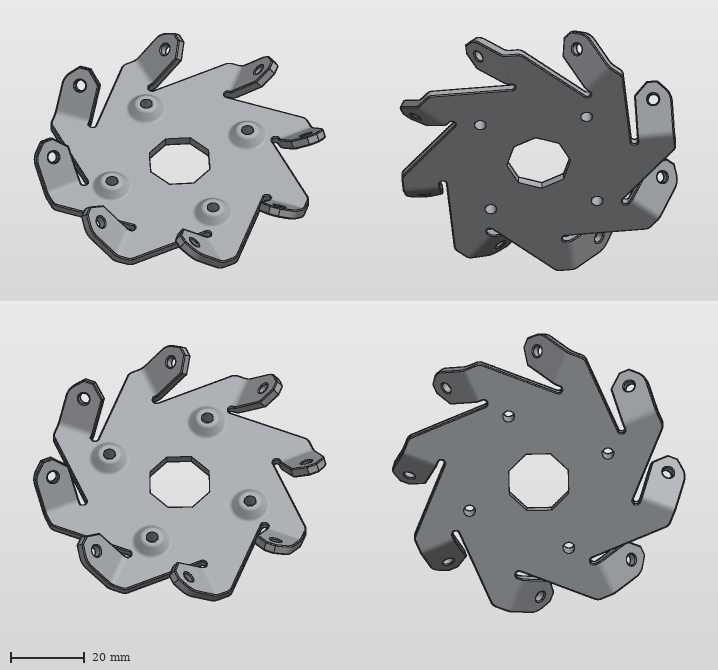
import cadquery as cq
import math

ARM_COUNT = 8
ARM_ANGLE = 360 / ARM_COUNT
PLATE_HALF = 37.5
SHEET = 2.55
RIM_CHAMFER = 0.3
CORNER_RADIUS = 2.5

SLOT_EDGE = 25.6
SLOT_WIDTH = 1.8
SLOT_END = 3.8
SLOT_RADIUS = SLOT_WIDTH / 2
SLOT_CENTRE_X = SLOT_END + SLOT_RADIUS
TAB_INNER = SLOT_EDGE + SLOT_WIDTH
TAB_WIDTH = PLATE_HALF - TAB_INNER

BEND_ANGLE = 45
BEND_INNER_RADIUS = 2.5
BEND_OUTER_RADIUS = BEND_INNER_RADIUS
BEND_CORNER = 5.1
TAB_OVERLAP = 0.75
TAB_LENGTH = 13.95
TAB_CORNER_CUT = 3.6
TAB_CORNER_ANGLE = 45
TAB_CORNER_RADIUS = 5.0
TAB_HOLE_DIAMETER = 3.0
TAB_HOLE_TO_TIP = 4.95

OPENING_SIDES = 8
OPENING_CORNER_RADIUS = 8.7
BOSS_COUNT = 4
BOSS_CIRCLE_RADIUS = 20.5
BOSS_HEIGHT = 2.25
BOSS_BASE_RADIUS = 5.1
BOSS_SLOPE_ANGLE = 45
BOSS_BLEND_RADIUS = 1.3
BOSS_HOLE_DIAMETER = 3.15

SQUARE_TOLERANCE = 0.01

BEND_SETBACK = math.tan(math.radians(BEND_ANGLE / 2))
BEND_START = BEND_CORNER - BEND_INNER_RADIUS * BEND_SETBACK
ARM_TURN = math.radians(ARM_ANGLE)
PLATE_CORNER = PLATE_HALF / math.tan(ARM_TURN) - SLOT_EDGE / math.sin(ARM_TURN)


def rotated(point, angle):
    """Turn a plan point about the plate axis by an angle in degrees."""
    x, y = point
    c = math.cos(math.radians(angle))
    s = math.sin(math.radians(angle))
    return (x * c - y * s, x * s + y * c)


def around(shape, count):
    """Copies of a shape spread evenly about the plate axis."""
    return [shape.rotate((0, 0, 0), (0, 0, 1), i * 360 / count) for i in range(count)]


def flat_plate():
    arm = [(PLATE_CORNER, PLATE_HALF), (SLOT_CENTRE_X, PLATE_HALF), (SLOT_CENTRE_X, SLOT_EDGE)]
    outline = [rotated(p, -i * ARM_ANGLE) for i in range(ARM_COUNT) for p in arm]
    plate = cq.Workplane("XY").polyline(outline).close().extrude(SHEET)
    for i in range(ARM_COUNT):
        x, y = rotated((PLATE_CORNER, PLATE_HALF), -i * ARM_ANGLE)
        corner = cq.selectors.NearestToPointSelector((x, y, SHEET / 2))
        plate = plate.edges("|Z").edges(corner).fillet(CORNER_RADIUS)
    return plate.faces("|Z").edges().chamfer(RIM_CHAMFER)


def tab_plane():
    """Plane on the upper tab face: origin at the bend corner, x up the slope, y inwards."""
    slope = math.radians(BEND_ANGLE)
    return cq.Plane(
        origin=(BEND_CORNER, PLATE_HALF, SHEET),
        xDir=(math.cos(slope), 0, math.sin(slope)),
        normal=(math.sin(slope), 0, -math.cos(slope)),
    )


def right_angle_edges(body):
    """Edges between faces at a right angle, leaving out the upright ones."""
    solid = body.val()
    square = []
    for edge in body.edges("not |Z").vals():
        middle = edge.positionAt(0.5)
        first, second = [face.normalAt(middle) for face in edge.ancestors(solid, "Face")]
        if abs(first.dot(second)) < SQUARE_TOLERANCE:
            square.append(edge)
    return body.newObject(square)


def bent_strip():
    """Sheet strip of constant thickness that runs along the plate and bends up the tab."""
    slope = math.radians(BEND_ANGLE)
    along = (TAB_LENGTH * math.cos(slope), TAB_LENGTH * math.sin(slope))
    across = (SHEET * math.sin(slope), -SHEET * math.cos(slope))
    start = BEND_START - TAB_OVERLAP
    outer_corner = BEND_CORNER + SHEET * BEND_SETBACK
    tip = (BEND_CORNER + along[0], SHEET + along[1])
    strip = (
        cq.Workplane("XZ", origin=(0, PLATE_HALF, 0))
        .moveTo(start, SHEET)
        .lineTo(BEND_CORNER, SHEET)
        .lineTo(*tip)
        .lineTo(tip[0] + across[0], tip[1] + across[1])
        .lineTo(outer_corner, 0)
        .lineTo(start, 0)
        .close()
        .extrude(TAB_WIDTH)
    )
    middle = PLATE_HALF - TAB_WIDTH / 2
    inner = cq.selectors.NearestToPointSelector((BEND_CORNER, middle, SHEET))
    outer = cq.selectors.NearestToPointSelector((outer_corner, middle, 0))
    strip = strip.edges(inner).fillet(BEND_INNER_RADIUS)
    return strip.edges(outer).fillet(BEND_OUTER_RADIUS)


def bent_tab():
    """Strip with both tip corners cut, the outer cut blended into the arm edge."""
    turn = math.radians(TAB_CORNER_ANGLE)
    blend = TAB_CORNER_RADIUS * math.tan(turn / 2)
    cut_start = TAB_LENGTH - TAB_CORNER_CUT
    arc_start = cut_start - blend
    arc_middle = (
        arc_start + TAB_CORNER_RADIUS * math.sin(turn / 2),
        TAB_CORNER_RADIUS * (1 - math.cos(turn / 2)),
    )
    arc_end = (cut_start + blend * math.cos(turn), blend * math.sin(turn))
    outer_cut = (
        cq.Workplane(tab_plane())
        .moveTo(arc_start, 0)
        .threePointArc(arc_middle, arc_end)
        .lineTo(TAB_LENGTH, TAB_CORNER_CUT)
        .lineTo(TAB_LENGTH, 0)
        .close()
        .extrude(SHEET)
    )
    inner_cut = (
        cq.Workplane(tab_plane())
        .moveTo(TAB_LENGTH, TAB_WIDTH - TAB_CORNER_CUT)
        .lineTo(TAB_LENGTH, TAB_WIDTH)
        .lineTo(cut_start, TAB_WIDTH)
        .close()
        .extrude(SHEET)
    )
    tab = bent_strip().cut(outer_cut).cut(inner_cut)
    return right_angle_edges(tab).chamfer(RIM_CHAMFER)


def flared_cutter(plane, centre, radius):
    """Round cutter through the sheet, starting on a plane and flared to bevel both rims."""
    flare = radius + RIM_CHAMFER
    profile = [
        (0, 0),
        (flare, 0),
        (radius, RIM_CHAMFER),
        (radius, SHEET - RIM_CHAMFER),
        (flare, SHEET),
        (0, SHEET),
    ]
    side = cq.Plane(
        origin=plane.toWorldCoords(centre),
        xDir=plane.xDir,
        normal=plane.xDir.cross(plane.zDir),
    )
    return cq.Workplane(side).polyline(profile).close().revolve(360, (0, 0, 0), (0, 1, 0))


def slot_end():
    centre = (SLOT_CENTRE_X, SLOT_EDGE + SLOT_RADIUS)
    return flared_cutter(cq.Plane.XY(), centre, SLOT_RADIUS)


def tab_hole():
    centre = (TAB_LENGTH - TAB_HOLE_TO_TIP, TAB_WIDTH / 2)
    return flared_cutter(tab_plane(), centre, TAB_HOLE_DIAMETER / 2)


def boss():
    """Conical boss with a hollow blend at its foot and a round blend at its top."""
    slope = math.radians(BOSS_SLOPE_ANGLE)
    top_radius = BOSS_BASE_RADIUS - BOSS_HEIGHT / math.tan(slope)
    top = SHEET + BOSS_HEIGHT
    setback = BOSS_BLEND_RADIUS * math.tan(slope / 2)
    run = setback * math.cos(slope)
    rise = setback * math.sin(slope)
    bow = BOSS_BLEND_RADIUS * math.sin(slope / 2)
    sag = BOSS_BLEND_RADIUS * (1 - math.cos(slope / 2))
    foot = BOSS_BASE_RADIUS + setback
    shoulder = top_radius - setback
    return (
        cq.Workplane("XZ")
        .moveTo(0, 0)
        .lineTo(foot, 0)
        .lineTo(foot, SHEET)
        .threePointArc((foot - bow, SHEET + sag), (BOSS_BASE_RADIUS - run, SHEET + rise))
        .lineTo(top_radius + run, top - rise)
        .threePointArc((shoulder + bow, top - sag), (shoulder, top))
        .lineTo(0, top)
        .close()
        .revolve(360, (0, 0, 0), (0, 1, 0))
        .translate((BOSS_CIRCLE_RADIUS, 0, 0))
    )


def boss_hole():
    position = cq.Workplane("XY").center(BOSS_CIRCLE_RADIUS, 0)
    return position.circle(BOSS_HOLE_DIAMETER / 2).extrude(SHEET + BOSS_HEIGHT)


body = flat_plate()
for tab in around(bent_tab(), ARM_COUNT):
    body = body.union(tab)
for end in around(slot_end(), ARM_COUNT):
    body = body.cut(end)

opening = cq.Workplane("XY").polygon(OPENING_SIDES, 2 * OPENING_CORNER_RADIUS).extrude(SHEET)
body = body.cut(opening)
for hole in around(tab_hole(), ARM_COUNT):
    body = body.cut(hole)
for mount in around(boss(), BOSS_COUNT):
    body = body.union(mount)
for hole in around(boss_hole(), BOSS_COUNT):
    body = body.cut(hole)

result = body